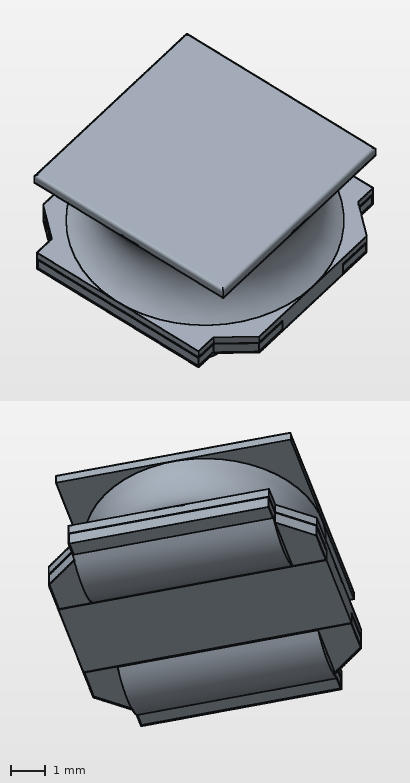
import cadquery as cq

base_size = 8.0
base_bottom = 0.3
base_top = 1.0
overall_height = 3.59
wing_half_width = 2.99
notch_outer_y = 2.46
notch_inner_y = 3.31

plate_size = 7.0
plate_thickness = 0.33
plate_edge_fillet = 0.1

winding_bottom_radius = 4.0
winding_waist_radius = 3.26
winding_waist_z = 2.36
winding_top_radius = 3.49
foot_width = 0.04
foot_height = 0.02
neck_height = 0.06
neck_flare = 0.02

terminal_top = 0.7
terminal_inner_y = 1.38
plating_thickness = 0.02
bead_inner_y = 1.41
bead_outer_y = 3.51

half_size = base_size / 2
plate_bottom = overall_height - plate_thickness
bead_center_y = (bead_inner_y + bead_outer_y) / 2


def base_outline():
    """Square outline with a slanted notch cut out of each corner."""
    quarter = [
        (half_size, notch_outer_y),
        (wing_half_width, notch_inner_y),
        (wing_half_width, half_size),
    ]
    right_top = quarter
    left_top = [(-x, y) for x, y in reversed(quarter)]
    left_bottom = [(-x, -y) for x, y in quarter]
    right_bottom = [(x, -y) for x, y in reversed(quarter)]
    return cq.Workplane("XY").polyline(right_top + left_top + left_bottom + right_bottom).close()


def base_slab(bottom, top):
    """Base outline extruded between two heights."""
    return base_outline().extrude(top - bottom).translate((0, 0, bottom))


def end_plating(side):
    """Thin plating over the bottom and outer walls of one end; side is +1 or -1 in Y."""
    core = (
        base_outline()
        .offset2D(-plating_thickness, "intersection")
        .extrude(terminal_top - base_bottom)
        .translate((0, 0, base_bottom + plating_thickness))
    )
    length = half_size - terminal_inner_y
    end_block = cq.Workplane("XY").box(
        base_size, length, terminal_top - base_bottom, centered=(True, True, False)
    ).translate((0, side * (terminal_inner_y + length / 2), base_bottom))
    return base_slab(base_bottom, terminal_top).intersect(end_block).cut(core)


def solder_bead(side):
    """Bead with a circular-arc section that runs along X under one end."""
    return (
        cq.Workplane("YZ")
        .moveTo(side * bead_inner_y, base_bottom)
        .threePointArc((side * bead_center_y, 0), (side * bead_outer_y, base_bottom))
        .close()
        .extrude(wing_half_width, both=True)
    )


def make_terminal(side):
    """Plating and its solder bead form one terminal."""
    return end_plating(side).union(solder_bead(side))


def make_base(platings):
    """Notched slab with recesses that match the terminal plating."""
    base = base_slab(base_bottom, base_top)
    for plating in platings:
        base = base.cut(plating)
    return base


def make_winding():
    """Waisted body of revolution between the base and the top plate."""
    return (
        cq.Workplane("XZ")
        .moveTo(0, base_top)
        .lineTo(winding_bottom_radius, base_top)
        .lineTo(winding_bottom_radius - foot_width, base_top + foot_height)
        .threePointArc(
            (winding_waist_radius, winding_waist_z),
            (winding_top_radius - neck_flare, plate_bottom - neck_height),
        )
        .lineTo(winding_top_radius, plate_bottom)
        .lineTo(0, plate_bottom)
        .close()
        .revolve(360, (0, 0, 0), (0, 1, 0))
    )


def make_top_plate():
    """Square plate with a rounded upper rim."""
    return (
        cq.Workplane("XY")
        .box(plate_size, plate_size, plate_thickness, centered=(True, True, False))
        .faces(">Z")
        .edges()
        .fillet(plate_edge_fillet)
        .translate((0, 0, plate_bottom))
    )


ends = (-1, 1)
base = make_base([end_plating(side) for side in ends])
winding = make_winding()
top_plate = make_top_plate()
terminals = [make_terminal(side) for side in ends]

result = cq.Compound.makeCompound(
    [base.val(), winding.val(), top_plate.val(), *[terminal.val() for terminal in terminals]]
)